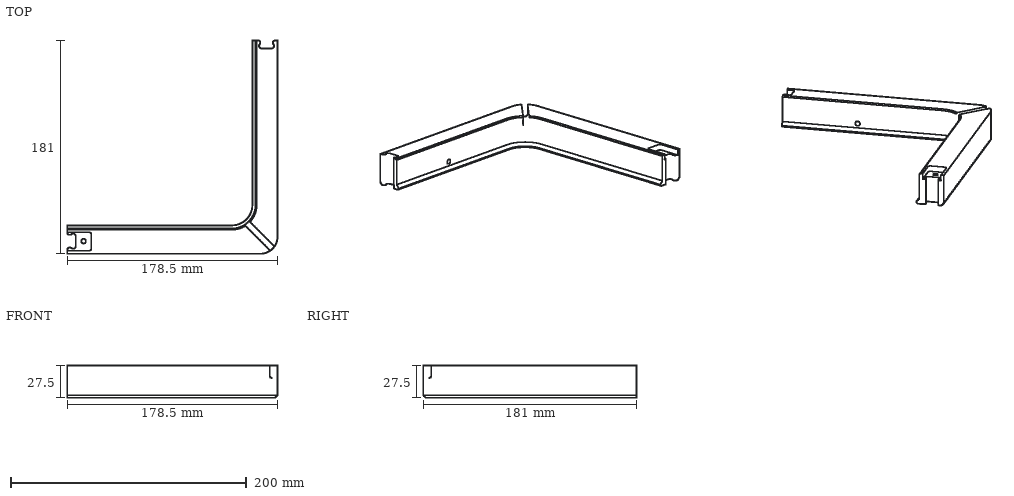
import cadquery as cq
import math

LENGTH_X = 178.5
LENGTH_Y = 181.0
HEIGHT = 27.5
X_ARM_WIDTH = 21.5
Y_ARM_WIDTH = 18.8
OUTER_RADIUS = 14.8
INNER_RADIUS = 20.0
OUTER_CHAMFER = 2.2
INNER_TOP_CHAMFER = 1.0

FOOT_WIDTH = 2.7
FOOT_HEIGHT = 4.3
FOOT_BOTTOM_CHAMFER = 1.5

GROOVE_WIDTH = 5.0
GROOVE_DEPTH = 10.7
GROOVE_END_FILLET = 1.0

SLOT_THROAT = 10.5
SLOT_CAVITY = 12.7
X_SLOT_RADIUS = 2.2
Y_SLOT_RADIUS = 2.0

POCKET_LENGTH = 20.5
POCKET_WIDTH = 16.0
POCKET_DEPTH = 4.9
POCKET_CENTER_Y = 10.5
POCKET_RADIUS = 2.2

HOLE_DIAMETER = 4.0
HOLE_DEPTH = 9.0
POCKET_HOLE_X = 14.0
WALL_HOLE_Y = 115.3
WALL_HOLE_Z = 8.1

CUT_MARGIN = 1.8


def l_prism(extra_width, height):
    """L-shaped prism whose inner side is moved inward by extra_width."""
    inner_x = LENGTH_X - Y_ARM_WIDTH - extra_width
    inner_y = X_ARM_WIDTH + extra_width
    radius = INNER_RADIUS - extra_width
    outer_mid = OUTER_RADIUS * (1 - math.sqrt(0.5))
    inner_mid = radius * (1 - math.sqrt(0.5))
    return (
        cq.Workplane("XY")
        .lineTo(LENGTH_X - OUTER_RADIUS, 0)
        .threePointArc((LENGTH_X - outer_mid, outer_mid), (LENGTH_X, OUTER_RADIUS))
        .lineTo(LENGTH_X, LENGTH_Y)
        .lineTo(inner_x, LENGTH_Y)
        .lineTo(inner_x, inner_y + radius)
        .threePointArc((inner_x - inner_mid, inner_y + inner_mid), (inner_x - radius, inner_y))
        .lineTo(0, inner_y)
        .close()
        .extrude(height)
    )


def inner_side_edges(z, extra_width):
    """Selector box around the inner side of the L at height z, clear of the outer side."""
    reach = 0.2
    return cq.selectors.BoxSelector(
        (-reach, X_ARM_WIDTH + extra_width - reach, z - reach),
        (LENGTH_X - Y_ARM_WIDTH - extra_width + reach, LENGTH_Y + reach, z + reach),
        boundingbox=False,
    )


def outer_bottom_edges():
    """Selector for the bottom edges along the two outer walls and their rounded corner."""
    reach = 0.2
    strip = OUTER_RADIUS / 2
    along_x = cq.selectors.BoxSelector((reach, -reach, -reach), (LENGTH_X, strip, reach))
    along_y = cq.selectors.BoxSelector(
        (LENGTH_X - strip, reach, -reach), (LENGTH_X + reach, LENGTH_Y - reach, reach)
    )
    return along_x + along_y


def make_foot():
    foot = l_prism(FOOT_WIDTH, FOOT_HEIGHT)
    foot = foot.edges(inner_side_edges(FOOT_HEIGHT, FOOT_WIDTH)).chamfer(FOOT_WIDTH)
    return foot.edges(inner_side_edges(0, FOOT_WIDTH)).chamfer(FOOT_BOTTOM_CHAMFER)


def make_frame():
    wall = l_prism(0, HEIGHT)
    wall = wall.edges(inner_side_edges(HEIGHT, 0)).chamfer(INNER_TOP_CHAMFER)
    frame = wall.union(make_foot())
    return frame.edges(outer_bottom_edges()).chamfer(OUTER_CHAMFER)


def groove_end_edges():
    """Selector for the edges where the groove breaks through the outer and inner rounded walls."""
    outer_gap = OUTER_RADIUS * (1 - math.sqrt(0.5))
    inner_gap = INNER_RADIUS * (1 - math.sqrt(0.5))
    outer_exit = (LENGTH_X - outer_gap, outer_gap)
    inner_exit = (LENGTH_X - Y_ARM_WIDTH - inner_gap, X_ARM_WIDTH + inner_gap)

    def box_around(point):
        low = (point[0] - GROOVE_WIDTH, point[1] - GROOVE_WIDTH, HEIGHT - GROOVE_DEPTH - CUT_MARGIN)
        high = (point[0] + GROOVE_WIDTH, point[1] + GROOVE_WIDTH, HEIGHT - INNER_TOP_CHAMFER)
        return cq.selectors.BoxSelector(low, high)

    return box_around(outer_exit) + box_around(inner_exit)


def cut_groove(frame):
    """Round-bottomed groove on the 45 degree line through the sharp outer corner."""
    radius = GROOVE_WIDTH / 2
    length = 3 * max(X_ARM_WIDTH, Y_ARM_WIDTH)
    straight_bottom = HEIGHT - GROOVE_DEPTH + radius
    plane = cq.Plane((LENGTH_X, 0, 0), xDir=(-1, -1, 0), normal=(-1, 1, 0))
    cutter = (
        cq.Workplane(plane)
        .moveTo(-radius, HEIGHT + CUT_MARGIN)
        .lineTo(-radius, straight_bottom)
        .threePointArc((0, HEIGHT - GROOVE_DEPTH), (radius, straight_bottom))
        .lineTo(radius, HEIGHT + CUT_MARGIN)
        .close()
        .extrude(length)
    )
    grooved = frame.cut(cutter)
    return grooved.edges(groove_end_edges()).fillet(GROOVE_END_FILLET)


def slot_cutter(radius):
    """Slot entering along +X from the origin, with rounded lips and a wider rounded cavity."""
    lip_y = SLOT_THROAT / 2 + radius
    cavity_y = SLOT_CAVITY / 2 - radius
    cavity_x = radius + math.sqrt((2 * radius) ** 2 - (lip_y - cavity_y) ** 2)
    depth = cavity_x + radius
    touch = ((radius + cavity_x) / 2, (lip_y + cavity_y) / 2)
    lip_mid = (radius * (1 - math.sqrt(0.5)), lip_y - radius * math.sqrt(0.5))
    half = (
        cq.Workplane("XY")
        .moveTo(-CUT_MARGIN, 0)
        .lineTo(-CUT_MARGIN, lip_y)
        .lineTo(0, lip_y)
        .threePointArc(lip_mid, (radius, lip_y - radius))
        .tangentArcPoint(touch, relative=False)
        .tangentArcPoint((cavity_x, cavity_y + radius), relative=False)
        .tangentArcPoint((depth, cavity_y), relative=False)
        .lineTo(depth, 0)
        .close()
        .extrude(HEIGHT)
    )
    return half.union(half.mirror("XZ"))


def pocket_cutter():
    length = POCKET_LENGTH + CUT_MARGIN
    return (
        cq.Workplane("XY", origin=(POCKET_LENGTH - length / 2, POCKET_CENTER_Y, HEIGHT - POCKET_DEPTH))
        .rect(length, POCKET_WIDTH)
        .extrude(POCKET_DEPTH)
        .edges("|Z and >X")
        .fillet(POCKET_RADIUS)
    )


def hole_cutter(start, direction):
    hole = cq.Solid.makeCylinder(HOLE_DIAMETER / 2, HOLE_DEPTH, cq.Vector(*start), cq.Vector(*direction))
    return cq.Workplane(hole)


x_slot = slot_cutter(X_SLOT_RADIUS).translate((0, X_ARM_WIDTH / 2, 0))
y_slot = (
    slot_cutter(Y_SLOT_RADIUS)
    .rotate((0, 0, 0), (0, 0, 1), -90)
    .translate((LENGTH_X - Y_ARM_WIDTH / 2, LENGTH_Y, 0))
)
pocket_hole = hole_cutter((POCKET_HOLE_X, X_ARM_WIDTH / 2, HEIGHT - POCKET_DEPTH), (0, 0, -1))
wall_hole = hole_cutter((LENGTH_X - Y_ARM_WIDTH, WALL_HOLE_Y, WALL_HOLE_Z), (1, 0, 0))

result = cut_groove(make_frame())
for cutter in (x_slot, y_slot, pocket_cutter(), pocket_hole, wall_hole):
    result = result.cut(cutter)